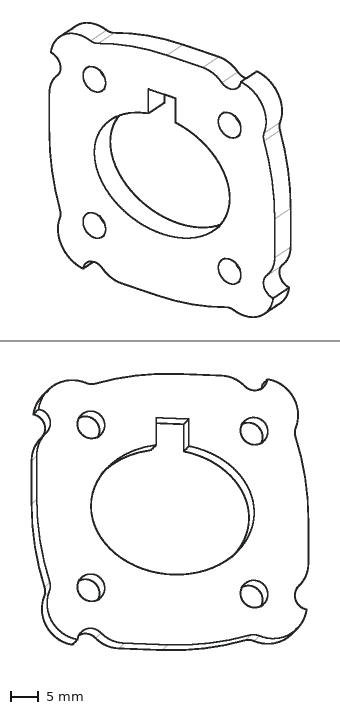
import cadquery as cq
import math

size = 50.0
thickness = 5.0
half = size / 2

hole_diameter = 5.0
hole_offset = 15.0
notch_radius = 2.5

side_radius = 50.0
shoulder_radius = 6.0
lobe_radius = 6.5
lobe_x = 16.6

bore_half_width = 15.0
bore_half_height = 12.0
keyway_width = 6.0
keyway_top = 16.75


def rotate(point, quarter_turns):
    """Turn a point clockwise about the plate centre."""
    x, z = point
    for _ in range(quarter_turns):
        x, z = z, -x
    return x, z


def toward(start, target, distance):
    """Point at a distance from start, in the direction of target."""
    fraction = distance / math.dist(start, target)
    return tuple(s + fraction * (t - s) for s, t in zip(start, target))


def arc_middle(center, radius, start, end):
    """Middle of the minor arc from start to end."""
    chord_middle = tuple((s + e) / 2 for s, e in zip(start, end))
    return toward(center, chord_middle, radius)


def lobe_tip(notch, lobe):
    """Outer crossing of a notch circle with its corner lobe circle."""
    distance = math.dist(notch, lobe)
    along = (notch_radius**2 - lobe_radius**2 + distance**2) / (2 * distance)
    across = math.sqrt(notch_radius**2 - along**2)
    foot_x, foot_z = toward(notch, lobe, along)
    return (
        foot_x + across * (notch[1] - lobe[1]) / distance,
        foot_z + across * (lobe[0] - notch[0]) / distance,
    )


def make_plate():
    left_notch = (-hole_offset, half)
    right_notch = (hole_offset, half)
    side_notch = (half, hole_offset)

    side_run = math.sqrt((side_radius + notch_radius) ** 2 - side_radius**2)
    side_center = (side_run - hole_offset, half - side_radius)
    shoulder_run = math.sqrt((shoulder_radius + notch_radius) ** 2 - shoulder_radius**2)
    shoulder_center = (hole_offset - shoulder_run, half - shoulder_radius)
    lobe_rise = math.sqrt((lobe_radius + notch_radius) ** 2 - (half - lobe_x) ** 2)
    lobe_center = (lobe_x, hole_offset + lobe_rise)

    bow_start = toward(left_notch, side_center, notch_radius)
    flat_start = (side_center[0], half)
    flat_end = (shoulder_center[0], half)
    shoulder_end = toward(right_notch, shoulder_center, notch_radius)
    tip = lobe_tip(right_notch, lobe_center)
    lobe_end = toward(side_notch, lobe_center, notch_radius)
    next_bow_start = rotate(bow_start, 1)

    bow_middle = arc_middle(side_center, side_radius, bow_start, flat_start)
    shoulder_middle = arc_middle(shoulder_center, shoulder_radius, flat_end, shoulder_end)
    notch_middle = arc_middle(right_notch, notch_radius, shoulder_end, tip)
    lobe_middle = arc_middle(lobe_center, lobe_radius, tip, lobe_end)
    side_notch_middle = arc_middle(side_notch, notch_radius, lobe_end, next_bow_start)

    outline = cq.Workplane("XZ", origin=(0, thickness / 2, 0)).moveTo(*bow_start)
    for turn in range(4):
        outline = (
            outline.threePointArc(rotate(bow_middle, turn), rotate(flat_start, turn))
            .lineTo(*rotate(flat_end, turn))
            .threePointArc(rotate(shoulder_middle, turn), rotate(shoulder_end, turn))
            .threePointArc(rotate(notch_middle, turn), rotate(tip, turn))
            .threePointArc(rotate(lobe_middle, turn), rotate(lobe_end, turn))
            .threePointArc(rotate(side_notch_middle, turn), rotate(next_bow_start, turn))
        )
    return outline.close().extrude(thickness)


def make_bolt_holes():
    return (
        cq.Workplane("XZ", origin=(0, thickness / 2, 0))
        .rect(2 * hole_offset, 2 * hole_offset, forConstruction=True)
        .vertices()
        .circle(hole_diameter / 2)
        .extrude(thickness)
    )


def make_bore():
    base = cq.Workplane("XZ", origin=(0, thickness / 2, 0))
    bore = base.ellipse(bore_half_width, bore_half_height).extrude(thickness)
    keyway = (
        base.center(0, keyway_top / 2)
        .rect(keyway_width, keyway_top)
        .extrude(thickness)
    )
    return bore.union(keyway)


result = make_plate().cut(make_bolt_holes()).cut(make_bore())